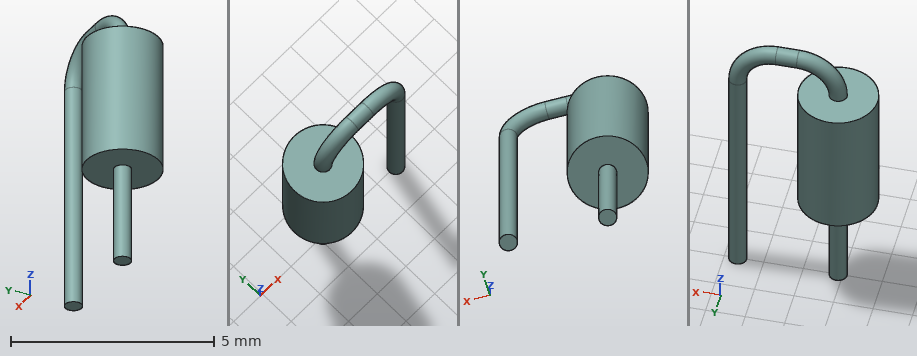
import cadquery as cq

body_diameter = 2.0
body_height = 3.5
lead_diameter = 0.45
lead_pitch = 2.54
lead_length = 2.6
bend_radius = 1.0

lead_bottom_z = -lead_length
bend_start_z = body_height
lead_top_z = bend_start_z + bend_radius


def make_body():
    return cq.Workplane("XY").circle(body_diameter / 2).extrude(body_height)


def make_lead():
    """One wire: up through the body, over two quarter bends, and back down."""
    path = (
        cq.Workplane("XZ")
        .moveTo(0, lead_bottom_z)
        .lineTo(0, bend_start_z)
        .tangentArcPoint((bend_radius, lead_top_z), relative=False)
        .lineTo(lead_pitch - bend_radius, lead_top_z)
        .tangentArcPoint((lead_pitch, bend_start_z), relative=False)
        .lineTo(lead_pitch, lead_bottom_z)
    )
    profile = cq.Workplane("XY", origin=(0, 0, lead_bottom_z)).circle(lead_diameter / 2)
    return profile.sweep(path)


result = make_body().union(make_lead())